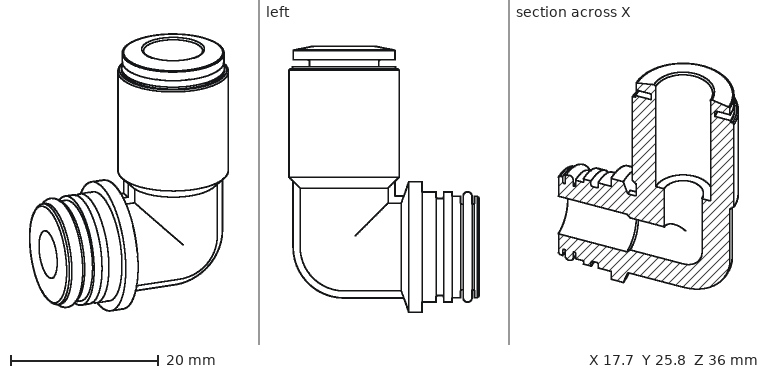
import cadquery as cq
import math


pipe_radius = 12.0 / 2
bore_radius = 5.5 / 2
rib_reach = 6.92
rib_width = 1.55

flange_radius = 17.7 / 2
total_height = 36.05
socket_top = total_height - flange_radius
body_radius = 15.0 / 2
body_bottom = 9.48
body_top = 24.45
body_shoulder = 24.15
body_chamfer = 0.2
cap_radius = 14.0 / 2
button_radius = 13.8 / 2
button_bottom = 25.35
button_rim = 26.6
rim_bevel_width = 0.18
rim_bevel_height = 0.1
neck_radius = 9.4 / 2
tube_radius = 8.0 / 2
mouth_chamfer = 0.25

land_radius = 14.95 / 2
total_depth = 25.8
plug_end = total_depth - body_radius
cone_start = 7.75
flange_back = 8.75
flange_front = 10.55
groove_start = 12.47
groove_end = 13.5
groove_radius = 13.15 / 2
land_end = 14.65
tip_radius = 13.8 / 2
seal_groove_start = 15.8
seal_groove_end = 17.65
seal_groove_radius = 11.6 / 2
seal_half_width = 0.6
tip_chamfer = 0.3
plug_bore_radius = 6.5 / 2

root_fillet = 0.2


def elbow(radius):
    """Two equal round arms reaching into socket and plug, with a ball at the corner."""
    upright = cq.Workplane("XY").circle(radius).extrude(body_bottom)
    level = cq.Workplane("XZ").circle(radius).extrude(cone_start)
    return cq.Workplane("XY").sphere(radius).union(upright).union(level)


def fillet_into_root(profile, radius, position):
    """Quarter-round from a groove wall down to the groove floor."""
    inset = root_fillet * (1 - math.sqrt(0.5))
    return profile.threePointArc(
        (radius + inset, position + inset), (radius, position + root_fillet)
    )


def fillet_out_of_root(profile, radius, position):
    """Quarter-round from the groove floor up to the next groove wall."""
    inset = root_fillet * (1 - math.sqrt(0.5))
    return profile.lineTo(radius, position - root_fillet).threePointArc(
        (radius + inset, position - inset), (radius + root_fillet, position)
    )


def make_socket():
    """Body and release button, revolved about Z."""
    profile = (
        cq.Workplane("XZ")
        .moveTo(0, body_bottom - (body_radius - pipe_radius))
        .lineTo(pipe_radius, body_bottom - (body_radius - pipe_radius))
        .lineTo(body_radius, body_bottom)
        .lineTo(body_radius, body_shoulder - body_chamfer)
        .lineTo(body_radius - body_chamfer, body_shoulder)
        .lineTo(cap_radius, body_shoulder)
        .lineTo(cap_radius, body_top)
        .lineTo(neck_radius, body_top)
    )
    profile = fillet_out_of_root(profile, neck_radius, button_bottom)
    profile = (
        profile.lineTo(button_radius, button_bottom)
        .lineTo(button_radius, button_rim)
        .lineTo(button_radius - rim_bevel_width, button_rim + rim_bevel_height)
        .lineTo(tube_radius + mouth_chamfer, socket_top)
        .lineTo(0, socket_top)
        .close()
    )
    return profile.revolve(360, (0, 0), (0, 1))


def make_plug():
    """Flange, lands and grooves, revolved about Y."""
    profile = (
        cq.Workplane("XY")
        .moveTo(0, cone_start)
        .lineTo(pipe_radius, cone_start)
        .lineTo(flange_radius, flange_back)
        .lineTo(flange_radius, flange_front)
        .lineTo(land_radius, flange_front)
        .lineTo(land_radius, groove_start)
        .lineTo(groove_radius + root_fillet, groove_start)
    )
    profile = fillet_into_root(profile, groove_radius, groove_start)
    profile = fillet_out_of_root(profile, groove_radius, groove_end)
    profile = (
        profile.lineTo(land_radius, groove_end)
        .lineTo(land_radius, land_end)
        .lineTo(tip_radius, land_end)
        .lineTo(tip_radius, seal_groove_start)
        .lineTo(seal_groove_radius + root_fillet, seal_groove_start)
    )
    profile = fillet_into_root(profile, seal_groove_radius, seal_groove_start)
    profile = fillet_out_of_root(profile, seal_groove_radius, seal_groove_end)
    profile = (
        profile.lineTo(tip_radius, seal_groove_end)
        .lineTo(tip_radius, plug_end - tip_chamfer)
        .lineTo(tip_radius - tip_chamfer, plug_end)
        .lineTo(0, plug_end)
        .close()
    )
    return profile.revolve(360, (0, 0), (0, 1)).mirror("XZ")


def make_seal():
    """Round-edged sealing ring seated on the floor of the seal groove."""
    middle = (seal_groove_start + seal_groove_end) / 2
    edge_radius = land_radius - seal_half_width
    ring = (
        cq.Workplane("XY")
        .moveTo(0, middle - seal_half_width)
        .lineTo(edge_radius, middle - seal_half_width)
        .threePointArc((land_radius, middle), (edge_radius, middle + seal_half_width))
        .lineTo(0, middle + seal_half_width)
        .close()
        .revolve(360, (0, 0), (0, 1))
    )
    return ring.mirror("XZ")


def make_rib():
    """Central web around the elbow, rounded on the outer corner and square on the inner one."""
    corner = -rib_reach * math.sqrt(0.5)
    return (
        cq.Workplane("YZ")
        .moveTo(rib_reach, body_bottom)
        .lineTo(rib_reach, 0)
        .threePointArc((-corner, corner), (0, -rib_reach))
        .lineTo(-flange_back, -rib_reach)
        .lineTo(-flange_back, rib_reach)
        .lineTo(-rib_reach, rib_reach)
        .lineTo(-rib_reach, body_bottom)
        .close()
        .extrude(rib_width / 2, both=True)
    )


def make_passage():
    """Bored elbow, chamfered tube socket and wider plug bore with a 45 degree conical floor."""
    tube = (
        cq.Workplane("XZ")
        .moveTo(0, body_bottom)
        .lineTo(tube_radius, body_bottom)
        .lineTo(tube_radius, socket_top - mouth_chamfer)
        .lineTo(tube_radius + mouth_chamfer, socket_top)
        .lineTo(0, socket_top)
        .close()
        .revolve(360, (0, 0), (0, 1))
    )
    plug_bore = (
        cq.Workplane("XY")
        .moveTo(0, cone_start)
        .lineTo(bore_radius, cone_start)
        .lineTo(plug_bore_radius, cone_start + plug_bore_radius - bore_radius)
        .lineTo(plug_bore_radius, plug_end)
        .lineTo(0, plug_end)
        .close()
        .revolve(360, (0, 0), (0, 1))
        .mirror("XZ")
    )
    return elbow(bore_radius).union(tube).union(plug_bore)


outside = elbow(pipe_radius).union(make_rib()).union(make_socket()).union(make_plug()).union(make_seal())
result = outside.cut(make_passage())